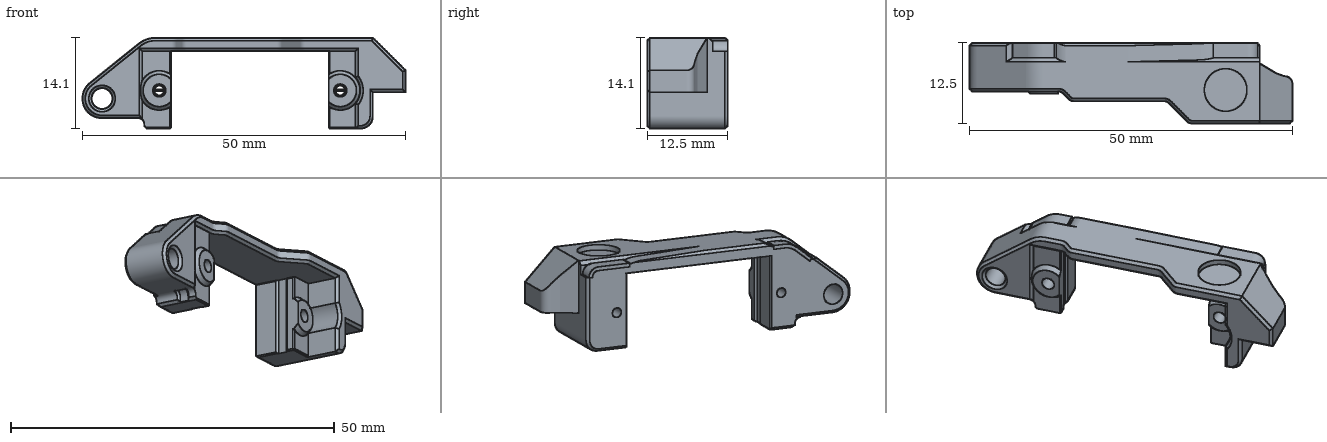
import cadquery as cq
import math

LENGTH = 50.0
DEPTH = 12.5
HEIGHT = 14.05
EDGE_CHAMFER = 0.45

NOSE_RADIUS = 3.05
NOSE_X = NOSE_RADIUS
NOSE_Z = 4.65
EYE_DIAMETER = 3.2
SLOPE_ANGLE = 38.8
SHOULDER_RADIUS = 4.0
ARM_BOTTOM_Z = NOSE_Z - NOSE_RADIUS

PLATE_BOTTOM_Z = 12.0
ARM_FRONT_Y = 4.95
PLATE_FRONT_Y = 3.45
FIRST_STEP_X = 14.2
SECOND_STEP_X = 30.55
STEP_FILLET = 1.0

WING_INNER_X = 42.25
WING_OUTER_X = 44.95
WING_CORNER_RADIUS = 1.9
FIN_BOTTOM_Z = 5.6
FIN_ROOT_Y = 9.3
FIN_BEND = (47.45, 7.8)
FIN_SHOULDER = (48.75, 7.35)
FIN_TIP_RADIUS = LENGTH - FIN_SHOULDER[0]

POST_FRONT_Y = 5.35
POST_CHAMFER = 0.2
LEFT_POST_X = (9.25, 13.75)
RIGHT_POST_X = (38.1, WING_INNER_X)
LEFT_POST_FOOT_X = 9.55
FOOT_FILLET = 0.85

SCREW_XS = (11.9, 39.9)
SCREW_Z = 5.9
BOSS_FRONT_Y = 4.6
BOSS_BASE_DIAMETER = 6.1
BOSS_FACE_DIAMETER = 5.0
SCREW_CLEARANCE_DIAMETER = 2.0
SCREW_PILOT_DIAMETER = 1.5
SCREW_STEP_Y = 7.15
WING_RELIEF_RADIUS = 3.1

BAR_THICKNESS = 0.3

DISC_DIAMETER = 6.6
DISC_X = 39.65
DISC_Y = 5.2
DISC_DEPTH = 0.85

POCKET_DEPTH = 0.6
POCKET_FRONT_Y = 10.15
LEFT_POCKET_START_X = 5.7
LEFT_POCKET_FLOOR_END_X = 13.45
LEFT_POCKET_END_X = 14.85
RAMP_START_X = 24.6
RAMP_END_X = 35.8
RAMP_DEPTH = 0.3
RIGHT_POCKET_FLOOR_X = 37.7

PAD_THICKNESS = 0.6
PAD_TOP_DEPTH = 0.45
PAD_CORNER_RADIUS = 1.6
PAD_CORNER_X = 43.05
LEFT_PAD_END_X = 13.15

GROOVE_Y = 7.65
GROOVE_WIDTH = 2.1
GROOVE_DEPTH = 0.35

CUT_MARGIN = 2.5
TOLERANCE = 0.005

slope = math.radians(SLOPE_ANGLE)
slope_tangent_x = NOSE_X - NOSE_RADIUS * math.sin(slope)
slope_tangent_z = NOSE_Z + NOSE_RADIUS * math.cos(slope)
slope_corner_x = slope_tangent_x + (HEIGHT - slope_tangent_z) / math.tan(slope)
shoulder_tangent = SHOULDER_RADIUS * math.tan(slope / 2)
shoulder_x = slope_corner_x + shoulder_tangent
shoulder_center_z = HEIGHT - SHOULDER_RADIUS


def polar(center_x, center_z, radius, angle):
    """Point on a circle; the angle is measured in radians from +X towards +Z."""
    return (center_x + radius * math.cos(angle), center_z + radius * math.sin(angle))


def extrude_y(sketch, y_start, y_end):
    """Solid between two Y planes from an XZ sketch drawn on the Y = 0 plane."""
    return sketch.extrude(y_start - y_end).translate((0, y_start, 0))


def y_cylinder(x, z, radius, y_start, y_end):
    return extrude_y(cq.Workplane("XZ").center(x, z).circle(radius), y_start, y_end)


def y_cone(x, z, y_start, start_radius, y_end, end_radius):
    axis_direction = cq.Vector(0, 1, 0)
    cone = cq.Solid.makeCone(
        start_radius, end_radius, y_end - y_start, cq.Vector(x, y_start, z), axis_direction
    )
    return cq.Workplane(obj=cone)


def arch_blank():
    """Arm, plate, wing and fin as one XZ outline over the full depth."""
    slope_normal = math.pi / 2 + slope
    nose_mid = (slope_normal + 3 * math.pi / 2) / 2
    shoulder_mid = math.pi / 2 + slope / 2
    corner_center_x = WING_OUTER_X - WING_CORNER_RADIUS
    fin_drop = LENGTH - WING_OUTER_X
    outline = (
        cq.Workplane("XZ")
        .moveTo(NOSE_X, ARM_BOTTOM_Z)
        .threePointArc(
            polar(NOSE_X, NOSE_Z, NOSE_RADIUS, nose_mid),
            (slope_tangent_x, slope_tangent_z),
        )
        .lineTo(*polar(shoulder_x, shoulder_center_z, SHOULDER_RADIUS, slope_normal))
        .threePointArc(
            polar(shoulder_x, shoulder_center_z, SHOULDER_RADIUS, shoulder_mid),
            (shoulder_x, HEIGHT),
        )
        .lineTo(WING_OUTER_X, HEIGHT)
        .lineTo(LENGTH, HEIGHT - fin_drop)
        .lineTo(LENGTH, FIN_BOTTOM_Z)
        .lineTo(WING_OUTER_X, FIN_BOTTOM_Z)
        .lineTo(WING_OUTER_X, WING_CORNER_RADIUS)
        .threePointArc(
            polar(corner_center_x, WING_CORNER_RADIUS, WING_CORNER_RADIUS, -math.pi / 4),
            (corner_center_x, 0),
        )
        .lineTo(WING_INNER_X, 0)
        .lineTo(WING_INNER_X, PLATE_BOTTOM_Z)
        .lineTo(LEFT_POST_X[0], PLATE_BOTTOM_Z)
        .lineTo(LEFT_POST_X[0], ARM_BOTTOM_Z)
        .close()
    )
    return extrude_y(outline, 0, DEPTH)


def plan_prism():
    """Outline seen along Z: stepped 45-degree front edge and curved fin at the back."""
    first_step = ARM_FRONT_Y - PLATE_FRONT_Y
    step_points = [
        (FIRST_STEP_X, ARM_FRONT_Y),
        (FIRST_STEP_X + first_step, PLATE_FRONT_Y),
        (SECOND_STEP_X, PLATE_FRONT_Y),
        (SECOND_STEP_X + PLATE_FRONT_Y, 0),
    ]
    tip_center_y = FIN_SHOULDER[1] - FIN_TIP_RADIUS
    prism = (
        cq.Workplane("XY")
        .moveTo(0, DEPTH)
        .lineTo(0, ARM_FRONT_Y)
        .polyline(step_points, includeCurrent=True)
        .lineTo(LENGTH, 0)
        .lineTo(LENGTH, tip_center_y)
        .threePointArc(
            polar(FIN_SHOULDER[0], tip_center_y, FIN_TIP_RADIUS, math.pi / 4),
            FIN_SHOULDER,
        )
        .lineTo(*FIN_BEND)
        .lineTo(WING_OUTER_X, FIN_ROOT_Y)
        .lineTo(WING_OUTER_X, DEPTH)
        .close()
        .extrude(HEIGHT)
    )
    for x, y in step_points:
        prism = prism.edges(cq.selectors.NearestToPointSelector((x, y, HEIGHT / 2))).fillet(STEP_FILLET)
    return prism


def arch():
    """Blank cut to its plan outline, with its front and back edges chamfered."""
    body = arch_blank().intersect(plan_prism())
    front_faces = [
        face for face in body.faces().vals()
        if face.normalAt().y < -0.5 and abs(face.normalAt().z) < TOLERANCE
    ]
    front_edges = [edge for face in front_faces for edge in face.Edges()]
    front_rim = [
        edge for edge in front_edges
        if sum(edge.isSame(other) for other in front_edges) == 1
    ]
    body = body.newObject(front_rim).chamfer(EDGE_CHAMFER)
    inner_xs = (LEFT_POST_X[0], WING_INNER_X)
    back_rim = [
        edge for edge in body.faces(">Y").edges().vals()
        if not any(abs(edge.Center().x - x) < TOLERANCE for x in inner_xs)
        and abs(edge.Center().z - PLATE_BOTTOM_Z) > TOLERANCE
    ]
    return body.newObject(back_rim).chamfer(EDGE_CHAMFER)


def post(x_range):
    width = x_range[1] - x_range[0]
    block = cq.Workplane("XY").box(
        width, DEPTH - POST_FRONT_Y, PLATE_BOTTOM_Z, centered=False
    )
    return block.translate((x_range[0], POST_FRONT_Y, 0))


def foot_cut():
    """Space under the arm beside the left post, rounded where the two meet."""
    center_x = LEFT_POST_FOOT_X - FOOT_FILLET
    center_z = ARM_BOTTOM_Z - FOOT_FILLET
    outline = (
        cq.Workplane("XZ")
        .moveTo(center_x, ARM_BOTTOM_Z)
        .threePointArc(
            polar(center_x, center_z, FOOT_FILLET, math.pi / 4),
            (LEFT_POST_FOOT_X, center_z),
        )
        .lineTo(LEFT_POST_FOOT_X, -CUT_MARGIN)
        .lineTo(center_x, -CUT_MARGIN)
        .close()
    )
    return extrude_y(outline, 0, DEPTH)


def foot_web():
    """Material that the fillet between arm and left post is cut from."""
    start_x = LEFT_POST_FOOT_X - FOOT_FILLET
    web = cq.Workplane("XY").box(
        LEFT_POST_FOOT_X - start_x, DEPTH - POST_FRONT_Y, FOOT_FILLET, centered=False
    )
    return web.translate((start_x, POST_FRONT_Y, ARM_BOTTOM_Z - FOOT_FILLET))


def posts():
    """Both posts with bevelled ends and a fillet from the left foot to the arm."""
    left = post(LEFT_POST_X).union(foot_web()).cut(foot_cut())
    left = left.faces("<Z").edges("<X").chamfer(EDGE_CHAMFER)
    left = left.faces("<Z").edges("not <X").chamfer(POST_CHAMFER)
    left = left.edges("|Z and >X").chamfer(POST_CHAMFER)
    right = post(RIGHT_POST_X).edges("<X or (<Z and (not >X))").chamfer(POST_CHAMFER)
    back_bevel = (
        cq.Workplane("YZ")
        .polyline([(DEPTH - EDGE_CHAMFER, 0), (DEPTH, 0), (DEPTH, EDGE_CHAMFER)])
        .close()
        .extrude(LENGTH)
    )
    return left.union(right).cut(back_bevel)


def boss(x):
    cone = y_cone(
        x, SCREW_Z, BOSS_FRONT_Y, BOSS_FACE_DIAMETER / 2, POST_FRONT_Y, BOSS_BASE_DIAMETER / 2
    )
    inner_width = RIGHT_POST_X[0] - LEFT_POST_X[1]
    opening = cq.Workplane("XY").box(inner_width, DEPTH, HEIGHT, centered=False)
    backing = y_cylinder(x, SCREW_Z, BOSS_BASE_DIAMETER / 2, POST_FRONT_Y, POST_FRONT_Y + POST_CHAMFER)
    return cone.union(backing).cut(opening.translate((LEFT_POST_X[1], 0, 0)))


def screw_hole(x):
    clearance = y_cylinder(x, SCREW_Z, SCREW_CLEARANCE_DIAMETER / 2, 0, SCREW_STEP_Y)
    pilot = y_cylinder(x, SCREW_Z, SCREW_PILOT_DIAMETER / 2, SCREW_STEP_Y, DEPTH)
    return clearance.union(pilot)


def wing_relief():
    """Round clearance in the wing in front of the right boss, with a chamfered mouth."""
    x = SCREW_XS[1]
    bore = y_cylinder(x, SCREW_Z, WING_RELIEF_RADIUS, 0, POST_FRONT_Y)
    mouth = y_cone(
        x, SCREW_Z, 0, WING_RELIEF_RADIUS + EDGE_CHAMFER, EDGE_CHAMFER, WING_RELIEF_RADIUS
    )
    return bore.union(mouth)


def eye_hole():
    radius = EYE_DIAMETER / 2
    bore = y_cylinder(NOSE_X, NOSE_Z, radius, 0, DEPTH)
    mouth = y_cone(
        NOSE_X, NOSE_Z, ARM_FRONT_Y, radius + EDGE_CHAMFER, ARM_FRONT_Y + EDGE_CHAMFER, radius
    )
    return bore.union(mouth)


def disc_recess():
    return (
        cq.Workplane("XY", origin=(DISC_X, DISC_Y, HEIGHT - DISC_DEPTH))
        .circle(DISC_DIAMETER / 2)
        .extrude(DISC_DEPTH)
    )


def pocket_section(origin, normal):
    """Pocket cross-section at a point of the top surface, with a 45-degree front wall."""
    plane = cq.Plane(origin=origin, xDir=(0, 1, 0), normal=normal)
    return (
        cq.Workplane(plane)
        .polyline([
            (POCKET_FRONT_Y - POCKET_DEPTH, 0),
            (POCKET_FRONT_Y, -POCKET_DEPTH),
            (DEPTH, -POCKET_DEPTH),
            (DEPTH, 0),
        ])
        .close()
    )


def straight_pocket():
    return pocket_section((shoulder_x, 0, HEIGHT), (1, 0, 0)).extrude(LENGTH - shoulder_x)


def bent_pocket():
    """Pocket of constant depth that runs down the slope, round the shoulder and along the plate."""
    slope_length = (shoulder_x - slope_tangent_x) / math.cos(slope)
    shoulder = pocket_section((shoulder_x, 0, HEIGHT), (1, 0, 0)).revolve(
        SLOPE_ANGLE, (0, -SHOULDER_RADIUS, 0), (-1, -SHOULDER_RADIUS, 0)
    )
    slope_top_x, slope_top_z = polar(
        shoulder_x, shoulder_center_z, SHOULDER_RADIUS, math.pi / 2 + slope
    )
    up_slope = (math.cos(slope), 0, math.sin(slope))
    descent = pocket_section((slope_top_x, 0, slope_top_z), up_slope).extrude(-slope_length)
    return straight_pocket().union(shoulder).union(descent)


def left_pocket():
    """Pocket that follows slope, shoulder and plate at a constant depth."""
    floor_radius = SHOULDER_RADIUS - POCKET_DEPTH
    start_z = HEIGHT - (slope_corner_x - LEFT_POCKET_START_X) * math.tan(slope)
    floor_start_x = LEFT_POCKET_START_X + POCKET_DEPTH / math.sin(slope)
    ramp_mid = (
        LEFT_POCKET_FLOOR_END_X + (LEFT_POCKET_END_X - LEFT_POCKET_FLOOR_END_X) / 3,
        HEIGHT - POCKET_DEPTH / 2,
    )
    outline = (
        cq.Workplane("XZ")
        .moveTo(LEFT_POCKET_START_X, start_z)
        .lineTo(floor_start_x, start_z)
        .lineTo(*polar(shoulder_x, shoulder_center_z, floor_radius, math.pi / 2 + slope))
        .threePointArc(
            polar(shoulder_x, shoulder_center_z, floor_radius, math.pi / 2 + slope / 2),
            (shoulder_x, HEIGHT - POCKET_DEPTH),
        )
        .lineTo(LEFT_POCKET_FLOOR_END_X, HEIGHT - POCKET_DEPTH)
        .threePointArc(ramp_mid, (LEFT_POCKET_END_X, HEIGHT))
        .lineTo(LEFT_POCKET_START_X, HEIGHT)
        .close()
    )
    prism = extrude_y(outline, POCKET_FRONT_Y - POCKET_DEPTH, DEPTH)
    return prism.intersect(bent_pocket())


def right_pocket():
    """Long shallow ramp, a short curved drop and a flat floor rounded over the end."""
    floor_z = HEIGHT - POCKET_DEPTH
    corner_z = HEIGHT - PAD_TOP_DEPTH - PAD_CORNER_RADIUS
    floor_radius = floor_z - corner_z
    drop_mid = (
        (RAMP_END_X + RIGHT_POCKET_FLOOR_X) / 2,
        HEIGHT - RAMP_DEPTH - (POCKET_DEPTH - RAMP_DEPTH) / 3,
    )
    outline = (
        cq.Workplane("XZ")
        .moveTo(RAMP_START_X, HEIGHT)
        .lineTo(RAMP_END_X, HEIGHT - RAMP_DEPTH)
        .threePointArc(drop_mid, (RIGHT_POCKET_FLOOR_X, floor_z))
        .lineTo(PAD_CORNER_X, floor_z)
        .threePointArc(
            polar(PAD_CORNER_X, corner_z, floor_radius, math.pi / 4),
            (PAD_CORNER_X + floor_radius, corner_z),
        )
        .lineTo(WING_OUTER_X, corner_z)
        .lineTo(WING_OUTER_X, HEIGHT)
        .close()
    )
    prism = extrude_y(outline, POCKET_FRONT_Y - POCKET_DEPTH, DEPTH)
    end_drop = cq.Workplane("XY", origin=(PAD_CORNER_X, POCKET_FRONT_Y, 0)).box(
        WING_OUTER_X - PAD_CORNER_X, DEPTH - POCKET_FRONT_Y, HEIGHT, centered=False
    )
    return prism.intersect(straight_pocket().union(end_drop))


def make_left_pad():
    """Strip of constant thickness bent over the shoulder, square to the slope at its lower end."""
    outer_radius = SHOULDER_RADIUS - PAD_TOP_DEPTH
    inner_radius = outer_radius - PAD_THICKNESS
    top_z = HEIGHT - PAD_TOP_DEPTH
    bend_end = math.pi / 2 + slope
    bend_mid = math.pi / 2 + slope / 2
    outer_end = polar(shoulder_x, shoulder_center_z, outer_radius, bend_end)
    inner_end = polar(shoulder_x, shoulder_center_z, inner_radius, bend_end)
    start_x = LEFT_POCKET_START_X + POCKET_DEPTH / math.sin(slope)
    run_x = outer_end[0] - start_x
    run_z = run_x * math.tan(slope)
    outline = (
        cq.Workplane("XZ")
        .moveTo(outer_end[0] - run_x, outer_end[1] - run_z)
        .lineTo(*outer_end)
        .threePointArc(
            polar(shoulder_x, shoulder_center_z, outer_radius, bend_mid), (shoulder_x, top_z)
        )
        .lineTo(LEFT_PAD_END_X, top_z)
        .lineTo(LEFT_PAD_END_X, top_z - PAD_THICKNESS)
        .lineTo(shoulder_x, top_z - PAD_THICKNESS)
        .threePointArc(polar(shoulder_x, shoulder_center_z, inner_radius, bend_mid), inner_end)
        .lineTo(inner_end[0] - run_x, inner_end[1] - run_z)
        .close()
    )
    return extrude_y(outline, POCKET_FRONT_Y, DEPTH)


def make_right_pad():
    """Strip of constant thickness bent a quarter turn over the right end."""
    top_z = HEIGHT - PAD_TOP_DEPTH
    corner_z = top_z - PAD_CORNER_RADIUS
    inner_radius = PAD_CORNER_RADIUS - PAD_THICKNESS
    outline = (
        cq.Workplane("XZ")
        .moveTo(RIGHT_POCKET_FLOOR_X, top_z)
        .lineTo(PAD_CORNER_X, top_z)
        .threePointArc(
            polar(PAD_CORNER_X, corner_z, PAD_CORNER_RADIUS, math.pi / 4),
            (PAD_CORNER_X + PAD_CORNER_RADIUS, corner_z),
        )
        .lineTo(PAD_CORNER_X + inner_radius, corner_z)
        .threePointArc(
            polar(PAD_CORNER_X, corner_z, inner_radius, math.pi / 4),
            (PAD_CORNER_X, top_z - PAD_THICKNESS),
        )
        .lineTo(RIGHT_POCKET_FLOOR_X, top_z - PAD_THICKNESS)
        .close()
    )
    return extrude_y(outline, POCKET_FRONT_Y, DEPTH)


def groove_section(x, z, inward):
    """Trapezoid with 45-degree sides, sunk from a face at x in the inward X direction."""
    half = GROOVE_WIDTH / 2
    floor_half = half - GROOVE_DEPTH
    floor_x = inward * GROOVE_DEPTH
    return (
        cq.Workplane("XY", origin=(x, GROOVE_Y, z))
        .polyline([(0, -half), (floor_x, -floor_half), (floor_x, floor_half), (0, half)])
        .close()
    )


def grooves():
    """Grooves in both inner post faces and around the foot of the left post."""
    center_z = ARM_BOTTOM_Z - FOOT_FILLET
    left_inner = groove_section(LEFT_POST_X[1], 0, -1).extrude(PLATE_BOTTOM_Z)
    right_inner = groove_section(RIGHT_POST_X[0], 0, 1).extrude(PLATE_BOTTOM_Z)
    foot = groove_section(LEFT_POST_FOOT_X, 0, 1).extrude(center_z)
    foot_bend = groove_section(LEFT_POST_FOOT_X, center_z, 1).revolve(
        90, (-FOOT_FILLET, 0.5, 0), (-FOOT_FILLET, 0, 0)
    )
    return [left_inner, right_inner, foot, foot_bend]


def make_housing(pads):
    """Body with every hole, pocket and groove, and a seat for each pad."""
    body = arch().cut(wing_relief()).union(posts())
    for x in SCREW_XS:
        body = body.union(boss(x))
    for x in SCREW_XS:
        body = body.cut(screw_hole(x))
    for tool in [eye_hole(), disc_recess(), left_pocket(), right_pocket(), *grooves(), *pads]:
        body = body.cut(tool)
    return body


def make_bar(x):
    """Bar lying on the step of a screw hole and reaching from wall to wall."""
    slab = cq.Workplane("XY", origin=(x, SCREW_STEP_Y - BAR_THICKNESS / 2, SCREW_Z)).box(
        SCREW_CLEARANCE_DIAMETER, BAR_THICKNESS, BAR_THICKNESS
    )
    return slab.intersect(screw_hole(x))


pads = [make_left_pad(), make_right_pad()]
bars = [make_bar(x) for x in SCREW_XS]
housing = make_housing(pads)

result = cq.Compound.makeCompound(
    [housing.val(), *[pad.val() for pad in pads], *[bar.val() for bar in bars]]
)